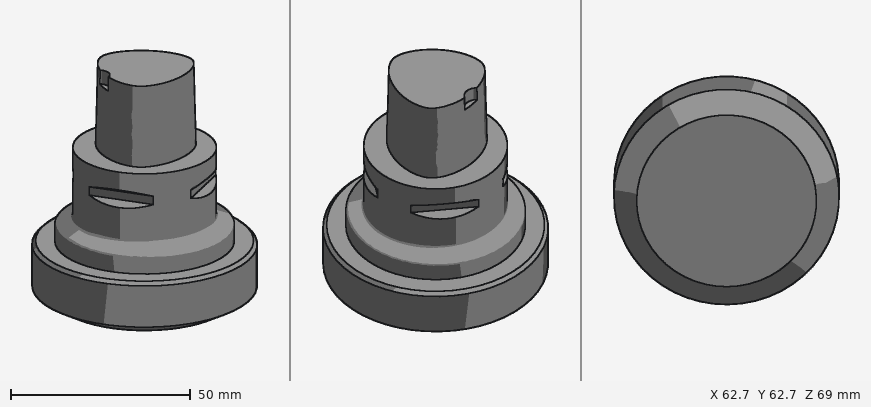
import cadquery as cq
import math

total_height = 69.0
flange_top = 17.0
body_base = 24.3
body_top = 45.0

flange_radius = 62.7 / 2
collar_radius = 50.0 / 2
body_radius = 40.0 / 2
flange_top_chamfer = 1.05
flange_bottom_chamfer_height = 3.6
collar_round = 1.0
shoulder_angle = math.radians(20)
body_fillet = 1.0

shank_base_radius = 14.0
shank_eccentricity = 1.0
diameter_taper = 1 / 20
outline_points = 48

notch_radius = 3.6
notch_depth = 4.15
notch_inner_y = -10.8

slot_center_z = 37.0
slot_floor_height = 2.5
slot_floor_distance = 17.6
slot_flare_angle = math.radians(30)
slot_first_angle = 45
slot_count = 4


def fillet_circle(solid, z, fillet_radius):
    """Round the circular edge at the given height."""
    edge = solid.edges(cq.selectors.NearestToPointSelector((0, 0, z)))
    return edge.fillet(fillet_radius)


def make_round_body():
    """Flange, collar and body turned about Z."""
    shoulder_drop = (collar_radius - body_radius) * math.tan(shoulder_angle)
    collar_top = body_base - shoulder_drop
    profile = (
        cq.Workplane("XZ")
        .moveTo(0, 0)
        .lineTo(collar_radius, 0)
        .lineTo(flange_radius, flange_bottom_chamfer_height)
        .lineTo(flange_radius, flange_top - flange_top_chamfer)
        .lineTo(flange_radius - flange_top_chamfer, flange_top)
        .lineTo(collar_radius, flange_top)
        .lineTo(collar_radius, collar_top)
        .lineTo(body_radius, body_base)
        .lineTo(body_radius, body_top)
        .lineTo(0, body_top)
        .close()
    )
    body = profile.revolve(360, (0, 0, 0), (0, 1, 0))
    body = fillet_circle(body, collar_top, collar_round)
    return fillet_circle(body, body_base, body_fillet)


def lobed_wire(radius, z):
    """Constant-width three-lobed outline with one lobe pointing to +Y."""
    e = shank_eccentricity
    points = []
    for i in range(outline_points):
        t = 2 * math.pi * i / outline_points
        along = radius * math.cos(t) - 2 * e * math.cos(2 * t) + e * math.cos(4 * t)
        across = radius * math.sin(t) + 2 * e * math.sin(2 * t) + e * math.sin(4 * t)
        points.append(cq.Vector(across, -along, z))
    return cq.Wire.assembleEdges([cq.Edge.makeSpline(points, periodic=True)])


def make_shank():
    """Shank narrowing towards its top, with a notch on the -Y side."""
    top_radius = shank_base_radius - diameter_taper * (total_height - body_top) / 2
    wires = [lobed_wire(shank_base_radius, body_top), lobed_wire(top_radius, total_height)]
    shank = cq.Workplane(cq.Solid.makeLoft(wires, True))
    notch = (
        cq.Workplane("XY", origin=(0, notch_inner_y - notch_radius, total_height - notch_depth))
        .circle(notch_radius)
        .extrude(notch_depth)
    )
    return shank.cut(notch)


def make_slot(angle):
    """Cutter for one flared slot at the given angle about Z."""
    depth = body_radius - slot_floor_distance
    floor_half = slot_floor_height / 2
    mouth_half = floor_half + depth * math.tan(slot_flare_angle)
    return (
        cq.Workplane("XZ", origin=(0, 0, slot_center_z))
        .moveTo(slot_floor_distance, -floor_half)
        .lineTo(body_radius, -mouth_half)
        .lineTo(body_radius, mouth_half)
        .lineTo(slot_floor_distance, floor_half)
        .close()
        .extrude(body_radius, both=True)
        .rotate((0, 0, 0), (0, 0, 1), angle)
    )


result = make_round_body().union(make_shank())
for i in range(slot_count):
    result = result.cut(make_slot(slot_first_angle + i * 360 / slot_count))